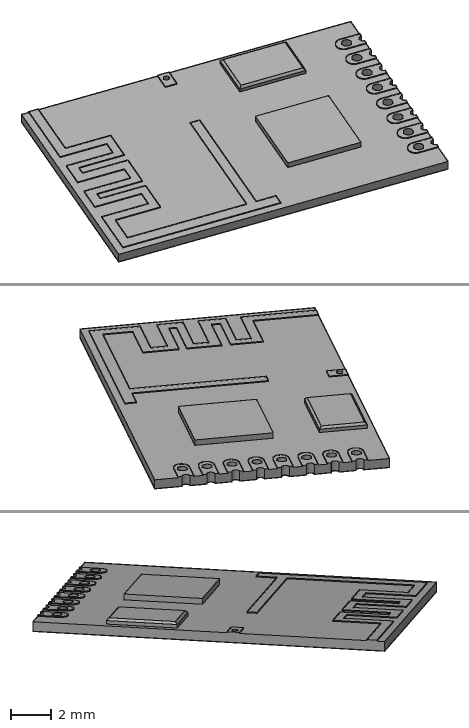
import cadquery as cq
BOARD_WIDTH = 12.0
BOARD_LENGTH = 18.0
BOARD_THICKNESS = 0.5
COPPER_THICKNESS = 0.05
TOTAL_HEIGHT = 0.8
PART_HEIGHT = TOTAL_HEIGHT - BOARD_THICKNESS

PAD_COUNT = 8
PAD_PITCH = 1.27
FIRST_PAD_X = 1.51
PAD_WIDTH = 0.81
PAD_LENGTH = 1.47
PAD_HOLE_DIAMETER = 0.5
PAD_HOLE_SETBACK = 0.9
NOTCH_RADIUS = 0.2

GROUND_PAD_LENGTH = 0.98
GROUND_PAD_WIDTH = 0.64
GROUND_PAD_Y = 7.75
VIA_X = 0.38
VIA_DIAMETER = 0.3

CHIP_SIDE = 4.0
CHIP_CENTER = (7.2, 12.48)

CRYSTAL_WIDTH = 2.45
CRYSTAL_LENGTH = 3.62
CRYSTAL_CENTER = (1.58, 12.5)
CRYSTAL_BEVEL = 0.12

TRACE_BOTTOM = 0.4
TRACE_TOP = 0.92
FINGER_INNER_TOP = 2.95
FINGER_OUTER_TOP = 3.4
FINGERS = [
    (3.35, 3.87, 4.63, 5.02),
    (5.47, 6.04, 6.81, 7.26),
    (7.65, 8.15, 9.0, 9.5),
]
RISER_LEFT = 11.02
RISER_RIGHT = 11.62
RISER_TOP = 9.03
BRANCH_LEFT = 4.05
BRANCH_BOTTOM = 7.43
BRANCH_TOP = 7.95

PAD_XS = [FIRST_PAD_X + i * PAD_PITCH for i in range(PAD_COUNT)]


def block(width, length, height, x, y):
    """Rectangular block standing on the board, centred on (x, y)."""
    base = cq.Workplane("XY", origin=(x, y, BOARD_THICKNESS))
    return base.rect(width, length).extrude(height)


def through_cylinders(points, diameter):
    """Upright cylinders that cut through the board and its copper."""
    return cq.Workplane("XY").pushPoints(points).circle(diameter / 2).extrude(TOTAL_HEIGHT)


def edge_pad(x):
    """Pad running in from the back edge to a rounded end."""
    half_width = PAD_WIDTH / 2
    end_y = BOARD_LENGTH - PAD_LENGTH
    arc_start_y = end_y + half_width
    return (
        cq.Workplane("XY", origin=(0, 0, BOARD_THICKNESS))
        .moveTo(x - half_width, BOARD_LENGTH)
        .lineTo(x - half_width, arc_start_y)
        .threePointArc((x, end_y), (x + half_width, arc_start_y))
        .lineTo(x + half_width, BOARD_LENGTH)
        .close()
        .extrude(COPPER_THICKNESS)
    )


def antenna():
    """Folded antenna trace."""
    upper_side = [(0, TRACE_TOP)]
    lower_side = [(0, TRACE_BOTTOM)]
    for outer_left, inner_left, inner_right, outer_right in FINGERS:
        upper_side += [
            (outer_left, TRACE_TOP),
            (outer_left, FINGER_OUTER_TOP),
            (outer_right, FINGER_OUTER_TOP),
            (outer_right, TRACE_TOP),
        ]
        lower_side += [
            (inner_left, TRACE_BOTTOM),
            (inner_left, FINGER_INNER_TOP),
            (inner_right, FINGER_INNER_TOP),
            (inner_right, TRACE_BOTTOM),
        ]
    upper_side += [
        (RISER_LEFT, TRACE_TOP),
        (RISER_LEFT, BRANCH_BOTTOM),
        (BRANCH_LEFT, BRANCH_BOTTOM),
        (BRANCH_LEFT, BRANCH_TOP),
        (RISER_LEFT, BRANCH_TOP),
        (RISER_LEFT, RISER_TOP),
    ]
    lower_side += [
        (RISER_RIGHT, TRACE_BOTTOM),
        (RISER_RIGHT, RISER_TOP),
    ]
    outline = upper_side + lower_side[::-1]
    base = cq.Workplane("XY", origin=(0, 0, BOARD_THICKNESS))
    return base.polyline(outline).close().extrude(COPPER_THICKNESS)


def crystal():
    """Crystal can, bevelled around its top face."""
    can = block(CRYSTAL_WIDTH, CRYSTAL_LENGTH, PART_HEIGHT, *CRYSTAL_CENTER)
    return can.faces(">Z").chamfer(CRYSTAL_BEVEL)


module = cq.Workplane("XY").box(BOARD_WIDTH, BOARD_LENGTH, BOARD_THICKNESS, centered=False)
for pad_x in PAD_XS:
    module = module.union(edge_pad(pad_x))
ground_pad = block(
    GROUND_PAD_LENGTH, GROUND_PAD_WIDTH, COPPER_THICKNESS, GROUND_PAD_LENGTH / 2, GROUND_PAD_Y
)
module = module.union(ground_pad).union(antenna())

pad_holes = [(x, BOARD_LENGTH - PAD_HOLE_SETBACK) for x in PAD_XS]
notches = [(x, BOARD_LENGTH) for x in PAD_XS]
module = module.cut(through_cylinders(pad_holes, PAD_HOLE_DIAMETER))
module = module.cut(through_cylinders(notches, 2 * NOTCH_RADIUS))
module = module.cut(through_cylinders([(VIA_X, GROUND_PAD_Y)], VIA_DIAMETER))

module = module.union(block(CHIP_SIDE, CHIP_SIDE, PART_HEIGHT, *CHIP_CENTER))
result = module.union(crystal())